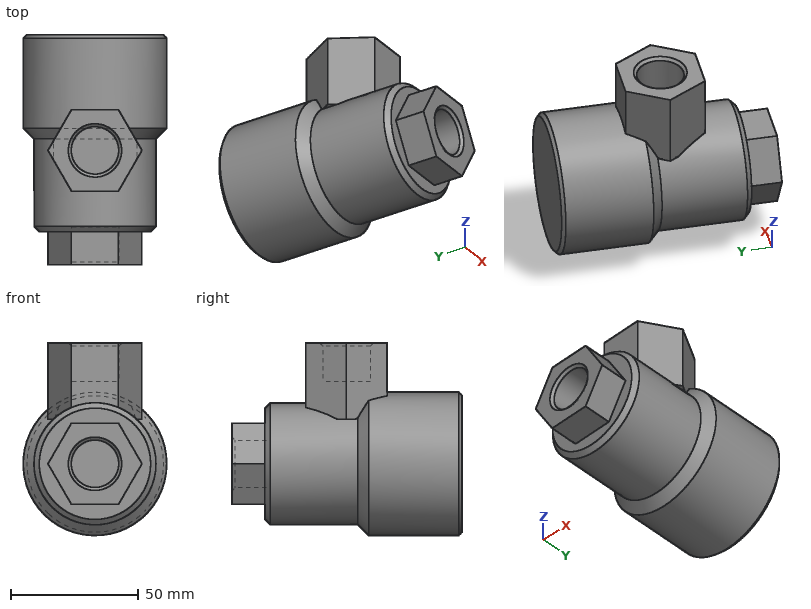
import cadquery as cq
import math

large_diameter = 56.5
small_diameter = 48.0
total_length = 90.5
front_hex_length = 13.0
front_chamfer = 2.1
rear_chamfer = 1.4
shoulder_start = 49.5
shoulder_length = (large_diameter - small_diameter) / 2

hex_sides = 6
hex_across_flats = 32.0
hex_across_corners = hex_across_flats / math.cos(math.pi / hex_sides)
top_port_height = 47.5
top_hex_length = 30.0
top_port_position = 45.0

bore_diameter = 18.63
bore_mouth_diameter = 21.0
bore_chamfer = (bore_mouth_diameter - bore_diameter) / 2
bore_depth = 15.0


def make_body():
    """Revolve the stepped half profile about the Y axis."""
    large_radius = large_diameter / 2
    small_radius = small_diameter / 2
    profile = [
        (0, front_hex_length),
        (small_radius - front_chamfer, front_hex_length),
        (small_radius, front_hex_length + front_chamfer),
        (small_radius, shoulder_start),
        (large_radius, shoulder_start + shoulder_length),
        (large_radius, total_length - rear_chamfer),
        (large_radius - rear_chamfer, total_length),
        (0, total_length),
    ]
    return cq.Workplane("XY").polyline(profile).close().revolve(360, (0, 0), (0, 1))


def make_hex(face_plane, length):
    """Hexagonal prism running inward from a port face, corners along X."""
    return cq.Workplane(face_plane).polygon(hex_sides, hex_across_corners).extrude(-length)


def make_bore(face_plane):
    """Blind bore with a 45 degree countersunk mouth, cut inward from a port face."""
    profile = [
        (0, 0),
        (bore_mouth_diameter / 2, 0),
        (bore_diameter / 2, -bore_chamfer),
        (bore_diameter / 2, -bore_depth),
        (0, -bore_depth),
    ]
    axis_plane = cq.Plane(face_plane.origin, face_plane.xDir, -face_plane.yDir)
    return cq.Workplane(axis_plane).polyline(profile).close().revolve(360, (0, 0), (0, 1))


front_face = cq.Plane((0, 0, 0), (1, 0, 0), (0, -1, 0))
top_face = cq.Plane((0, top_port_position, top_port_height), (1, 0, 0), (0, 0, 1))

result = (
    make_body()
    .union(make_hex(front_face, front_hex_length))
    .union(make_hex(top_face, top_hex_length))
    .cut(make_bore(front_face))
    .cut(make_bore(top_face))
    .translate((0, -top_port_position, 0))
)